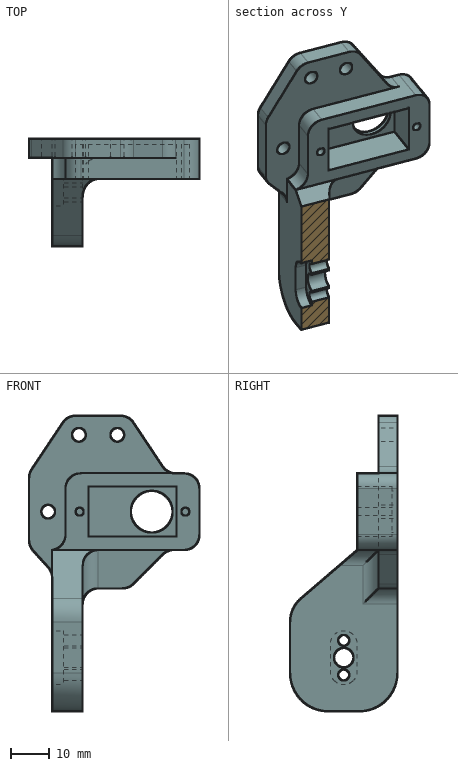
import cadquery as cq


plate_width = 36.0
plate_height = 45.0
plate_thickness = 5.0
plate_taper_width = 10.0
plate_top_taper_height = 15.0
plate_right_taper_height = 10.0
plate_left_taper_height = 11.0
plate_center_x = plate_width / 2
corner_radius = 4.0

mount_hole_diameter = 3.5
mount_hole_edge_distance = 5.0
top_hole_spacing = 10.0
side_hole_z = -25.0

box_right = 44.4
box_width = 34.9
box_height = 20.0
box_depth = 10.5
box_left = box_right - box_width
box_center_x = box_right - box_width / 2
box_center_z = side_hole_z
box_bottom = box_center_z - box_height / 2
box_top = box_center_z + box_height / 2

pocket_width = 23.0
pocket_height = 13.0
pocket_floor = 1.5
pocket_depth = box_depth - pocket_floor
shaft_hole_diameter = 10.8
shaft_offset = 5.0
screw_hole_diameter = 2.1
screw_hole_spacing = 27.5

leg_left = 6.0
leg_thickness = 8.0
leg_right = leg_left + leg_thickness
leg_reach = 28.0
leg_bottom = -77.0
leg_shoulder_z = -50.0
leg_corner_radius = 10.0
leg_shoulder_radius = 8.0

horn_center_y = -leg_reach / 2
horn_center_z = -63.0
horn_slot_width = 7.0
horn_slot_length = 14.0
horn_slot_depth = 3.0
horn_bore_diameter = 5.0
horn_screw_diameter = 2.8
horn_screw_offset = 4.5


def block(x_range, depth_range, z_range):
    """Box between two X values, two depths measured from the back face, and two Z values."""
    x_size = x_range[1] - x_range[0]
    y_size = depth_range[1] - depth_range[0]
    z_size = z_range[1] - z_range[0]
    corner = (x_range[0], -depth_range[1], z_range[0])
    return cq.Workplane("XY").box(x_size, y_size, z_size, centered=False).translate(corner)


def front_cylinders(points, diameter, front, depth):
    """Cylinders along Y at (x, z) points, running back from the given front depth."""
    plane = cq.Workplane("XZ", origin=(0, -front, 0))
    return plane.pushPoints(points).circle(diameter / 2).extrude(-depth)


def leg_solid(x_start, x_end):
    """Leg side profile extruded between two X values."""
    profile = [
        (0, box_bottom),
        (-box_depth, box_bottom),
        (-leg_reach, leg_shoulder_z),
        (-leg_reach, leg_bottom),
        (0, leg_bottom),
    ]
    leg = cq.Workplane("YZ", origin=(x_start, 0, 0)).polyline(profile).close().extrude(x_end - x_start)
    leg = leg.edges("|X and <Z").fillet(leg_corner_radius)
    shoulder = cq.selectors.NearestToPointSelector(((x_start + x_end) / 2, -leg_reach, leg_shoulder_z))
    return leg.edges(shoulder).fillet(leg_shoulder_radius)


def back_layer():
    """Everything within the plate thickness, with rounded outline corners except inside the leg."""
    outline = [
        (plate_taper_width, 0),
        (plate_width - plate_taper_width, 0),
        (plate_width, -plate_top_taper_height),
        (plate_width, plate_right_taper_height - plate_height),
        (plate_width - plate_taper_width, -plate_height),
        (plate_taper_width, -plate_height),
        (0, plate_left_taper_height - plate_height),
        (0, -plate_top_taper_height),
    ]
    depth_range = (0, plate_thickness)
    plate = cq.Workplane("XZ").polyline(outline).close().extrude(plate_thickness)
    box_base = block((plate_center_x, box_right), depth_range, (box_bottom, box_top))
    leg_root = block((leg_left, leg_right), depth_range, (horn_center_z, box_bottom))
    layer = plate.union(box_base).union(leg_root).clean()
    return layer.edges("|Y").edges("not <Z").fillet(corner_radius)


def servo_box():
    """Raised box on the plate; its lower left corner stays square where it joins the leg."""
    box = block((box_left, box_right), (plate_thickness, box_depth), (box_bottom, box_top))
    box = box.edges("|Y and >X").fillet(corner_radius)
    return box.edges("|Y and <X and >Z").fillet(corner_radius)


def left_web():
    """Concave fillet from the left side of the box to the top of the leg."""
    web = block(
        (leg_left, box_left), (plate_thickness, box_depth), (box_bottom, box_bottom + corner_radius)
    )
    arc_center = (box_left - corner_radius, box_bottom + corner_radius)
    return web.cut(front_cylinders([arc_center], 2 * corner_radius, box_depth, box_depth))


def right_web():
    """Concave fillet under the box against the leg, cut off by the slope of the leg."""
    web_right = leg_right + corner_radius
    web_bottom = box_bottom - corner_radius
    web = block((leg_right, web_right), (0, leg_reach), (web_bottom, box_bottom))
    web = web.cut(front_cylinders([(web_right, web_bottom)], 2 * corner_radius, leg_reach, leg_reach))
    return web.intersect(leg_solid(leg_right, web_right))


def plate_web():
    """Upright concave fillet between the front of the plate and the side of the leg."""
    web_right = leg_right + corner_radius
    web_front = plate_thickness + corner_radius
    web_bottom = -plate_height - corner_radius
    web = block((leg_right, web_right), (0, web_front), (web_bottom, box_bottom))
    front_round = (
        cq.Workplane("XY", origin=(web_right, -web_front, web_bottom))
        .circle(corner_radius)
        .extrude(box_bottom - web_bottom)
    )
    web = web.cut(front_round)
    return web.cut(front_cylinders([(web_right, web_bottom)], 2 * corner_radius, web_front, web_front))


def mounting_holes():
    points = [
        (plate_center_x - top_hole_spacing / 2, -mount_hole_edge_distance),
        (plate_center_x + top_hole_spacing / 2, -mount_hole_edge_distance),
        (mount_hole_edge_distance, side_hole_z),
    ]
    return front_cylinders(points, mount_hole_diameter, plate_thickness, plate_thickness)


def servo_cutout():
    """Pocket from the front, shaft opening through its floor and blind screw holes."""
    pocket = block(
        (box_center_x - pocket_width / 2, box_center_x + pocket_width / 2),
        (pocket_floor, box_depth),
        (box_center_z - pocket_height / 2, box_center_z + pocket_height / 2),
    )
    shaft_point = (box_center_x + shaft_offset, box_center_z)
    shaft_hole = front_cylinders([shaft_point], shaft_hole_diameter, box_depth, box_depth)
    screw_points = [(box_center_x + side * screw_hole_spacing / 2, box_center_z) for side in (-1, 1)]
    screw_holes = front_cylinders(screw_points, screw_hole_diameter, box_depth, pocket_depth)
    return pocket.union(shaft_hole).union(screw_holes)


def horn_cutout():
    """Slot in the left face of the leg, with a bore and two screw holes through its floor."""
    plane = cq.Workplane("YZ", origin=(leg_left, horn_center_y, horn_center_z))
    slot = plane.slot2D(horn_slot_length, horn_slot_width, 90).extrude(horn_slot_depth)
    bore = plane.circle(horn_bore_diameter / 2).extrude(leg_thickness)
    screw_points = [(0, -horn_screw_offset), (0, horn_screw_offset)]
    screw_holes = plane.pushPoints(screw_points).circle(horn_screw_diameter / 2).extrude(leg_thickness)
    return slot.union(bore).union(screw_holes)


result = (
    back_layer()
    .union(servo_box())
    .union(leg_solid(leg_left, leg_right))
    .union(left_web())
    .union(right_web())
    .union(plate_web())
    .cut(mounting_holes())
    .cut(servo_cutout())
    .cut(horn_cutout())
)